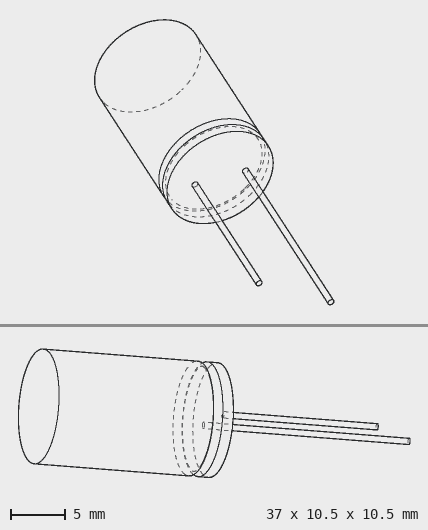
import cadquery as cq

can_length = 17.0
can_diameter = 10.5
can_radius = can_diameter / 2

groove_radius = 0.45
groove_to_rim = 1.48

overall_length = 37.0
lead_diameter = 0.6
lead_spacing = 5.0
long_lead_length = overall_length - can_length
short_lead_length = 15.03


def make_can():
    """Revolve the can's half section, including the half-round crimp groove."""
    groove_center = can_length - groove_to_rim
    half_section = (
        cq.Workplane("XY")
        .moveTo(0, 0)
        .lineTo(0, can_radius)
        .lineTo(groove_center - groove_radius, can_radius)
        .threePointArc(
            (groove_center, can_radius - groove_radius),
            (groove_center + groove_radius, can_radius),
        )
        .lineTo(can_length, can_radius)
        .lineTo(can_length, 0)
        .close()
    )
    return half_section.revolve(360, (0, 0, 0), (1, 0, 0))


def make_lead(y_position, length):
    """Round wire standing on the +X end face of the can."""
    return (
        cq.Workplane("YZ", origin=(can_length, y_position, 0))
        .circle(lead_diameter / 2)
        .extrude(length)
    )


can = make_can()

leads = []
for side, length in ((1, long_lead_length), (-1, short_lead_length)):
    leads.append(make_lead(side * lead_spacing / 2, length))

result = cq.Compound.makeCompound([can.val(), *[lead.val() for lead in leads]])